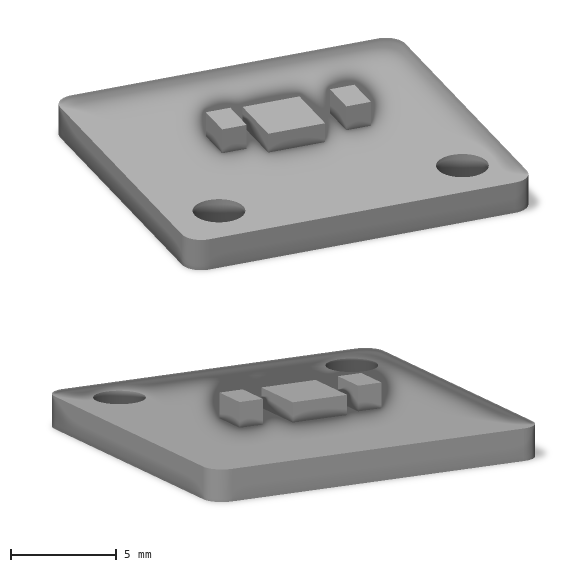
import cadquery as cq

board_width = 16.8
board_length = 17.7
board_thickness = 1.6
corner_radius = 1.0

hole_diameter = 2.5
hole_x = 5.75
hole_spacing = 12.5

chip_width = 3.13
chip_length = 2.92
chip_height = 1.0
chip_center = (-0.67, -0.21)

capacitor_width = 2.0
capacitor_length = 1.25
capacitor_height = 1.25
capacitor_x = -0.88
capacitor_centers = [(capacitor_x, 3.3), (capacitor_x, -3.08)]


def make_board():
    """Rounded rectangular board with two through holes."""
    return (
        cq.Workplane("XY")
        .rect(board_width, board_length)
        .extrude(board_thickness)
        .edges("|Z")
        .fillet(corner_radius)
        .faces(">Z")
        .workplane(origin=(0, 0, board_thickness))
        .pushPoints([(hole_x, -hole_spacing / 2), (hole_x, hole_spacing / 2)])
        .hole(hole_diameter)
    )


def make_blocks(centers, width, length, height):
    """Rectangular components standing on the top face of the board."""
    return (
        cq.Workplane("XY", origin=(0, 0, board_thickness))
        .pushPoints(centers)
        .rect(width, length)
        .extrude(height)
    )


chip = make_blocks([chip_center], chip_width, chip_length, chip_height)
capacitors = make_blocks(capacitor_centers, capacitor_width, capacitor_length, capacitor_height)

result = make_board().union(chip).union(capacitors)